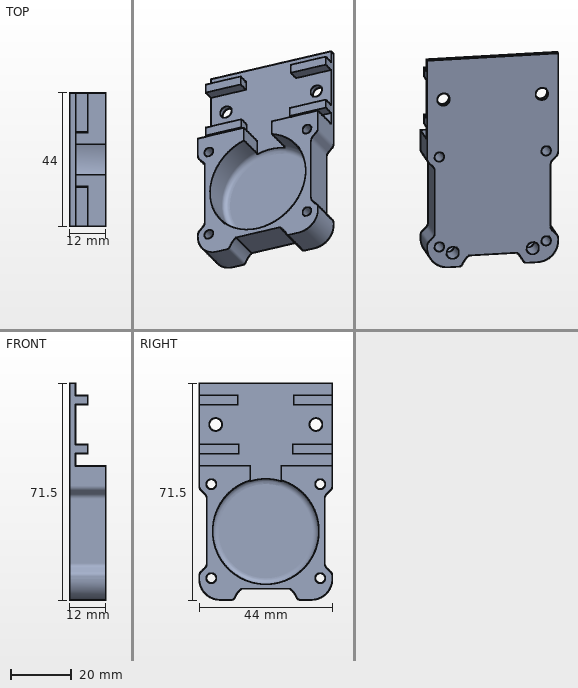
import cadquery as cq
import math

height = 71.5
width = 44.0
thickness = 12.0
half_width = width / 2

plate_thickness = 2.0
block_top = 44.2

waist_half_width = 19.45
upper_bend_top = 37.6
lower_bend_bottom = 7.9
bend_radius = 2.0

foot_radius = 7.0
notch_height = 3.65
notch_half_width = 8.0
foot_inner = 10.15
foot_inner_height = 0.85
foot_flat_inner = 11.3
notch_bulge = 0.2
toe_bulge = 0.2

rib_reach = 6.1
rib_height = 3.0
upper_rib_bottom = 64.4
lower_rib_bottom = 48.25
upper_rib_inner = 9.15
lower_rib_inner = 8.9

screw_diameter = 3.2
screw_y = 17.95
screw_heights = (7.2, 38.2)
large_diameter = 4.15
mount_y = 16.5
mount_z = 57.85
blind_y = 13.45
blind_z = 4.9
blind_depth = 8.0
drill_tip_angle = 118.0

pocket_radius = 17.5
pocket_z = (screw_heights[0] + screw_heights[1]) / 2
pocket_floor = 1.0
pocket_fillet = 2.0
slot_half_width = 5.1


def make_outline():
    """Half of the outline in the YZ plane, extruded and mirrored."""
    side_shift = half_width - waist_half_width
    sine = math.sqrt(0.5)
    bend_shift = bend_radius * (1 - sine)
    bend_rise = bend_radius * sine
    bend_height = 2 * bend_rise + side_shift - 2 * bend_shift
    upper_bend_bottom = upper_bend_top - bend_height
    lower_bend_top = lower_bend_bottom + bend_height
    half = (
        cq.Workplane("YZ")
        .moveTo(0, height)
        .lineTo(half_width, height)
        .lineTo(half_width, upper_bend_top)
        .radiusArc((half_width - bend_shift, upper_bend_top - bend_rise), bend_radius)
        .lineTo(waist_half_width + bend_shift, upper_bend_bottom + bend_rise)
        .radiusArc((waist_half_width, upper_bend_bottom), -bend_radius)
        .lineTo(waist_half_width, lower_bend_top)
        .radiusArc((waist_half_width + bend_shift, lower_bend_top - bend_rise), -bend_radius)
        .lineTo(half_width - bend_shift, lower_bend_bottom + bend_rise)
        .radiusArc((half_width, lower_bend_bottom), bend_radius)
        .lineTo(half_width, foot_radius)
        .radiusArc((half_width - foot_radius, 0), foot_radius)
        .lineTo(foot_flat_inner, 0)
        .sagittaArc((foot_inner, foot_inner_height), toe_bulge)
        .sagittaArc((notch_half_width, notch_height), -notch_bulge)
        .lineTo(0, notch_height)
        .close()
        .extrude(thickness)
    )
    return half.union(half.mirror("XZ"))


def box_between(x_range, y_range, z_range):
    sizes = [end - start for start, end in (x_range, y_range, z_range)]
    corner = (x_range[0], y_range[0], z_range[0])
    return cq.Workplane("XY").box(*sizes, centered=False).translate(corner)


def make_ribs(bottom, inner):
    """Pair of ribs running inward from both sides of the plate."""
    rib = box_between((0, rib_reach), (inner, half_width), (bottom, bottom + rib_height))
    return rib.union(rib.mirror("XZ"))


def make_through_holes(diameter, y, z):
    return (
        cq.Workplane("YZ")
        .pushPoints([(-y, z), (y, z)])
        .circle(diameter / 2)
        .extrude(thickness)
    )


def make_blind_hole(y):
    """Drilled hole with a conical bottom, entering from the flat back."""
    radius = large_diameter / 2
    tip_depth = radius / math.tan(math.radians(drill_tip_angle / 2))
    shaft = cq.Workplane("YZ").circle(radius).extrude(blind_depth)
    tip_base = cq.Vector(blind_depth, 0, 0)
    tip = cq.Solid.makeCone(radius, 0, tip_depth, tip_base, cq.Vector(1, 0, 0))
    return shaft.union(cq.Workplane(tip)).translate((0, y, blind_z))



def make_pocket():
    """Round pocket with a filleted floor, joined to the slot above it."""
    pocket = (
        cq.Workplane("YZ", origin=(pocket_floor, 0, pocket_z))
        .circle(pocket_radius)
        .extrude(thickness - pocket_floor)
        .faces("<X")
        .edges()
        .fillet(pocket_fillet)
    )
    slot = box_between(
        (plate_thickness, thickness),
        (-slot_half_width, slot_half_width),
        (pocket_z, block_top),
    )
    return pocket.union(slot)


upper_space = box_between(
    (plate_thickness, thickness),
    (-half_width, half_width),
    (block_top, height),
)
result = make_outline().cut(upper_space)
result = result.union(make_ribs(upper_rib_bottom, upper_rib_inner))
result = result.union(make_ribs(lower_rib_bottom, lower_rib_inner))
for screw_z in screw_heights:
    result = result.cut(make_through_holes(screw_diameter, screw_y, screw_z))
result = result.cut(make_through_holes(large_diameter, mount_y, mount_z))
for side in (-1, 1):
    result = result.cut(make_blind_hole(side * blind_y))
result = result.cut(make_pocket())